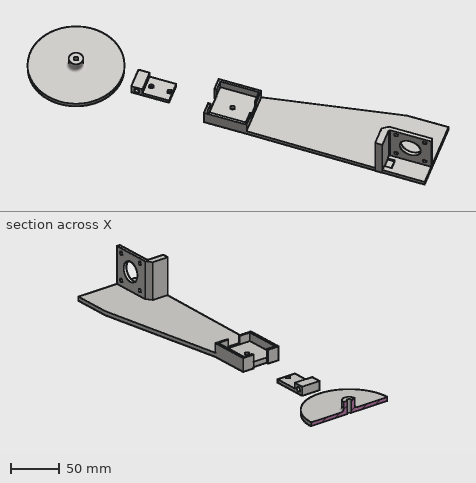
import cadquery as cq


DISC_DIAMETER = 100.0
DISC_THICKNESS = 5.0
HUB_DIAMETER = 15.0
HUB_TOP = 16.0
HUB_FOOT_DIAMETER = 21.0
HUB_BORE = 5.0
LENGTH = 439.5
LEFT_END = -DISC_DIAMETER / 2
RIGHT_END = LEFT_END + LENGTH

CLIP_LEFT = 64.0
CLIP_LENGTH = 41.5
CLIP_WIDTH = 23.0
CLIP_HEIGHT = 10.5
CLIP_BLOCK_LENGTH = 12.5
TONGUE_THICKNESS = 4.0
CROSS_HOLE = 5.3
TONGUE_HOLE = 5.0
TONGUE_HOLE_OFFSETS = (18.0, 38.2)

PLATE_THICKNESS = 5.0
TRAY_LEFT = 147.5
TRAY_SIZE = 46.5
TRAY_HEIGHT = 16.0
TRAY_FLOOR = 6.0
TRAY_SILL = 7.0
TRAY_WALL = 2.5
TRAY_INNER_WALL = 1.8
TRAY_HOLE = 5.0
TRAY_HOLE_OFFSET = 23.5
OPEN_END_GAP = 19.5
PLATE_SIDE_GAP = 15.0
TRAY_RIGHT = TRAY_LEFT + TRAY_SIZE
PLATE_BACK = DISC_DIAMETER / 2
PLATE_FRONT = -25.0
BACK_TAPER_END = 344.0
FRONT_TAPER_END = 374.0

MOUNT_LEFT = 335.5
MOUNT_TOP = 48.0
MOUNT_BACK = -0.5
MOTOR_WALL = 4.0
SIDE_WALL = 8.0
MOUNT_CHAMFER_X = 6.5
MOUNT_CHAMFER_Y = 5.0
INNER_CORNER_CHAMFER = 1.5
MOTOR_X = 366.5
MOTOR_Z = 27.0
MOTOR_OPENING = 23.0
MOTOR_SCREW_PITCH = 31.0
MOTOR_SCREW_HOLE = 4.0
POCKET_LENGTH = 8.0
POCKET_WIDTH = 10.5
POCKET_CENTER_Y = -14.0
POCKET_DEPTH = 2.0


def box(x0, x1, y0, y1, z0, z1):
    """Box between two opposite corners."""
    return cq.Workplane("XY").box(x1 - x0, y1 - y0, z1 - z0, centered=False).translate((x0, y0, z0))


def upright_cylinder(x, diameter, height):
    """Vertical cylinder standing on z = 0 at y = 0."""
    return cq.Workplane("XY").center(x, 0).circle(diameter / 2).extrude(height)


def make_disc():
    hub_reach = HUB_FOOT_DIAMETER / 2
    disc = upright_cylinder(0, DISC_DIAMETER, DISC_THICKNESS)
    disc = disc.union(upright_cylinder(0, HUB_DIAMETER, HUB_TOP))
    foot_fillet = (HUB_FOOT_DIAMETER - HUB_DIAMETER) / 2
    hub_foot = cq.selectors.BoxSelector(
        (-hub_reach, -hub_reach, DISC_THICKNESS / 2),
        (hub_reach, hub_reach, (DISC_THICKNESS + HUB_TOP) / 2),
        boundingbox=True,
    )
    disc = disc.edges("%CIRCLE").edges(hub_foot).fillet(foot_fillet)
    return disc.cut(upright_cylinder(0, HUB_BORE, HUB_TOP))


def make_clip():
    half_width = CLIP_WIDTH / 2
    block_right = CLIP_LEFT + CLIP_BLOCK_LENGTH
    clip = box(CLIP_LEFT, block_right, -half_width, half_width, 0, CLIP_HEIGHT)
    clip = clip.union(
        box(CLIP_LEFT, CLIP_LEFT + CLIP_LENGTH, -half_width, half_width, 0, TONGUE_THICKNESS)
    )
    cross_hole = (
        cq.Workplane("XZ", origin=(0, half_width, 0))
        .center(CLIP_LEFT + CLIP_BLOCK_LENGTH / 2, CLIP_HEIGHT / 2)
        .circle(CROSS_HOLE / 2)
        .extrude(CLIP_WIDTH)
    )
    clip = clip.cut(cross_hole)
    for offset in TONGUE_HOLE_OFFSETS:
        clip = clip.cut(upright_cylinder(CLIP_LEFT + offset, TONGUE_HOLE, TONGUE_THICKNESS))
    return clip


def make_plate():
    half_tray = TRAY_SIZE / 2
    outline = [
        (TRAY_RIGHT, -half_tray),
        (FRONT_TAPER_END, PLATE_FRONT),
        (RIGHT_END, PLATE_FRONT),
        (RIGHT_END, PLATE_BACK),
        (BACK_TAPER_END, PLATE_BACK),
        (TRAY_RIGHT, half_tray),
    ]
    return cq.Workplane("XY").polyline(outline).close().extrude(PLATE_THICKNESS)


def make_tray():
    half = TRAY_SIZE / 2
    inner_half = half - TRAY_WALL
    inner_left = TRAY_LEFT + TRAY_WALL
    inner_right = TRAY_RIGHT - TRAY_INNER_WALL
    tray = box(TRAY_LEFT, TRAY_RIGHT, -half, half, 0, TRAY_HEIGHT)
    tray = tray.cut(box(inner_left, inner_right, -inner_half, inner_half, TRAY_FLOOR, TRAY_HEIGHT))
    tray = tray.cut(box(TRAY_LEFT, inner_left, -OPEN_END_GAP / 2, OPEN_END_GAP / 2, 0, TRAY_HEIGHT))
    plate_gap = PLATE_SIDE_GAP / 2
    tray = tray.cut(box(inner_right, TRAY_RIGHT, -plate_gap, plate_gap, TRAY_SILL, TRAY_HEIGHT))
    return tray.cut(upright_cylinder(TRAY_LEFT + TRAY_HOLE_OFFSET, TRAY_HOLE, TRAY_FLOOR))


def make_motor_mount():
    inner_x = MOUNT_LEFT + SIDE_WALL
    inner_y = MOUNT_BACK - MOTOR_WALL
    outline = [
        (MOUNT_LEFT, PLATE_FRONT),
        (inner_x, PLATE_FRONT),
        (inner_x, inner_y - INNER_CORNER_CHAMFER),
        (inner_x + INNER_CORNER_CHAMFER, inner_y),
        (RIGHT_END, inner_y),
        (RIGHT_END, MOUNT_BACK),
        (MOUNT_LEFT + MOUNT_CHAMFER_X, MOUNT_BACK),
        (MOUNT_LEFT, MOUNT_BACK - MOUNT_CHAMFER_Y),
    ]
    mount = cq.Workplane("XY").polyline(outline).close().extrude(MOUNT_TOP)
    motor_face = cq.Workplane("XZ", origin=(MOTOR_X, MOUNT_BACK, MOTOR_Z))
    opening = motor_face.circle(MOTOR_OPENING / 2).extrude(MOTOR_WALL)
    screw_holes = (
        motor_face.rect(MOTOR_SCREW_PITCH, MOTOR_SCREW_PITCH, forConstruction=True)
        .vertices()
        .circle(MOTOR_SCREW_HOLE / 2)
        .extrude(MOTOR_WALL)
    )
    return mount.cut(opening).cut(screw_holes)


def make_pocket():
    """Shallow rectangular recess in the plate, beside the side wall of the mount."""
    left = MOUNT_LEFT + SIDE_WALL
    front = POCKET_CENTER_Y - POCKET_WIDTH / 2
    bottom = PLATE_THICKNESS - POCKET_DEPTH
    return box(left, left + POCKET_LENGTH, front, front + POCKET_WIDTH, bottom, PLATE_THICKNESS)


def make_arm():
    return make_plate().union(make_tray()).union(make_motor_mount()).cut(make_pocket())


disc = make_disc()
clip = make_clip()
arm = make_arm()

result = cq.Compound.makeCompound([disc.val(), clip.val(), arm.val()])